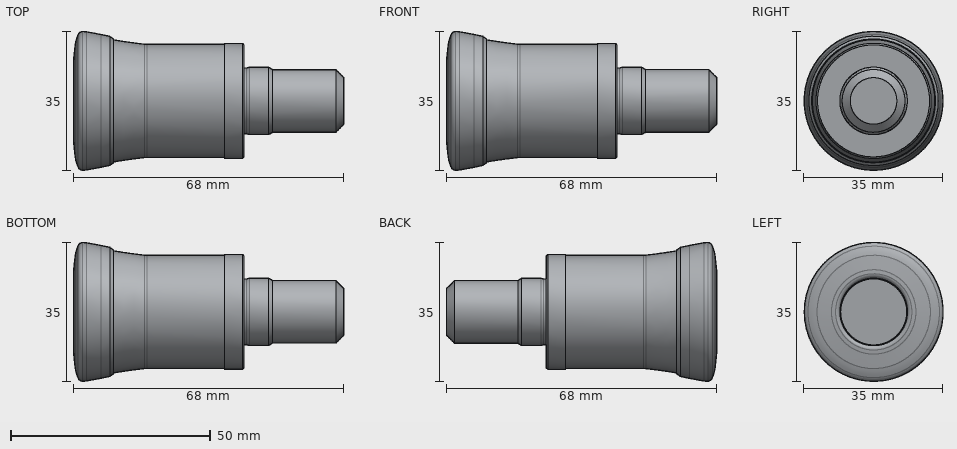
import cadquery as cq

TOTAL_LENGTH = 68.0

CAP_LENGTH = 10.1
BORE_RADIUS = 17.0 / 2
MOUTH_RADIUS = 9.6
MOUTH_CREST_RADIUS = 10.6
MOUTH_CREST_X = 0.1
BORE_START_X = 1.1
MOUTH_MID = (0.3, 8.85)
INNER_DOME_MID = (0.3, 12.6)
DOME_BREAK = (0.5, 28.5 / 2)
OUTER_DOME_MID = (0.75, 15.45)
DOME_END = (1.15, 16.5)
RIM_FRONT_MID = (1.6, 17.2)
RIM_CREST = (2.3, 34.95 / 2)
RIM_END = (3.25, 17.4)
SKIRT_MID = (6.95, 16.7)
SKIRT_END = (9.2, 16.25)
LIP_RADIUS = 15.6

SPIGOT_START_X = 2.2
SPIGOT_CHAMFER = 0.2
FLARE_RADIUS = 15.4
FLARE_MID = (13.6, 14.8)
SLEEVE_RADIUS = 28.5 / 2
FLARE_END = (17.9, 14.3)
SLEEVE_START_X = 18.5
COLLAR_RADIUS = 29.0 / 2
COLLAR_START_X = 38.0
COLLAR_END_X = 42.9
COLLAR_CHAMFER = 0.4
NECK_RADIUS = 8.3
NECK_END_X = 43.5
LAND_RADIUS = 17.0 / 2
LAND_START_X = 44.3
LAND_END_X = 49.1
SHAFT_RADIUS = 15.8 / 2
SHAFT_START_X = 50.05
TIP_CHAMFER = 2.05


def revolve_about_x(profile):
    return profile.close().revolve(360, (0, 0, 0), (1, 0, 0))


def make_cap():
    profile = (
        cq.Workplane("XY")
        .moveTo(CAP_LENGTH, BORE_RADIUS)
        .lineTo(BORE_START_X, BORE_RADIUS)
        .threePointArc(MOUTH_MID, (0.0, MOUTH_RADIUS))
        .lineTo(MOUTH_CREST_X, MOUTH_CREST_RADIUS)
        .threePointArc(INNER_DOME_MID, DOME_BREAK)
        .threePointArc(OUTER_DOME_MID, DOME_END)
        .threePointArc(RIM_FRONT_MID, RIM_CREST)
        .lineTo(*RIM_END)
        .lineTo(*SKIRT_MID)
        .lineTo(*SKIRT_END)
        .lineTo(CAP_LENGTH, LIP_RADIUS)
    )
    return revolve_about_x(profile)


def make_body():
    profile = (
        cq.Workplane("XY")
        .moveTo(SPIGOT_START_X, 0)
        .lineTo(SPIGOT_START_X, BORE_RADIUS - SPIGOT_CHAMFER)
        .lineTo(SPIGOT_START_X + SPIGOT_CHAMFER, BORE_RADIUS)
        .lineTo(CAP_LENGTH, BORE_RADIUS)
        .lineTo(CAP_LENGTH, FLARE_RADIUS)
        .threePointArc(FLARE_MID, FLARE_END)
        .lineTo(SLEEVE_START_X, SLEEVE_RADIUS)
        .lineTo(COLLAR_START_X, SLEEVE_RADIUS)
        .lineTo(COLLAR_START_X, COLLAR_RADIUS)
        .lineTo(COLLAR_END_X - COLLAR_CHAMFER, COLLAR_RADIUS)
        .lineTo(COLLAR_END_X, COLLAR_RADIUS - COLLAR_CHAMFER)
        .lineTo(COLLAR_END_X, NECK_RADIUS)
        .lineTo(NECK_END_X, NECK_RADIUS)
        .lineTo(LAND_START_X, LAND_RADIUS)
        .lineTo(LAND_END_X, LAND_RADIUS)
        .lineTo(SHAFT_START_X, SHAFT_RADIUS)
        .lineTo(TOTAL_LENGTH - TIP_CHAMFER, SHAFT_RADIUS)
        .lineTo(TOTAL_LENGTH, SHAFT_RADIUS - TIP_CHAMFER)
        .lineTo(TOTAL_LENGTH, 0)
    )
    return revolve_about_x(profile)


cap = make_cap()
body = make_body()
result = cq.Compound.makeCompound([cap.val(), body.val()])